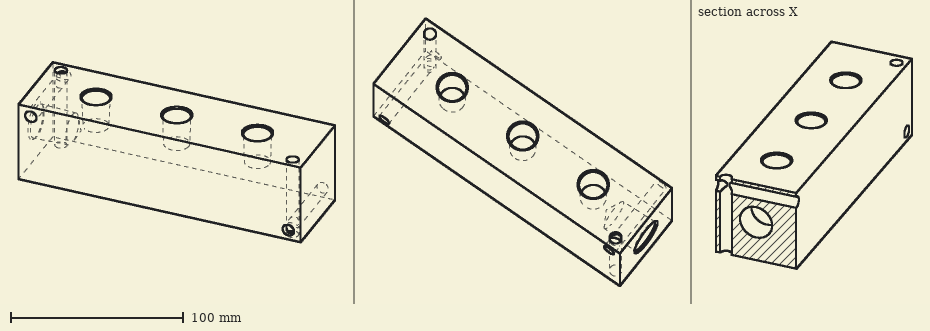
import cadquery as cq
import math

LENGTH = 177.8
SIDE = 50.9

MOUNT_DIAMETER = 7.1
MOUNT_EDGE = 6.4
MOUNT_INSET = 7.8

PORT_PITCH = SIDE
PORT_COUNT = 3
PORT_DIAMETER = 16.4
PORT_MOUTH = 18.1
PORT_DEPTH = 19.5
INLET_DIAMETER = 20.5
INLET_MOUTH = 22.5
INLET_DEPTH = 23.1
THREAD_TAPER = 1 / 16
DRILL_POINT_ANGLE = 120.0


def port_cutter(diameter, mouth, depth):
    """Tapered blind hole about -Z from the origin, with a 45 degree mouth chamfer and a drill tip."""
    radius = diameter / 2
    chamfer = (mouth - diameter) / 2
    end_radius = radius - (depth - chamfer) * THREAD_TAPER / 2
    tip = end_radius / math.tan(math.radians(DRILL_POINT_ANGLE / 2))
    profile = [
        (0, 0),
        (mouth / 2, 0),
        (radius, -chamfer),
        (end_radius, -depth),
        (0, -depth - tip),
    ]
    return cq.Workplane("XZ").polyline(profile).close().revolve(360, (0, 0), (0, 1))


def mounting_cutter():
    """Two parallel pins along Z: one at the -X +Y corner, one at the +X -Y corner."""
    end_offset = LENGTH / 2 - MOUNT_INSET
    side_offset = SIDE / 2 - MOUNT_EDGE
    centres = [(-end_offset, side_offset), (end_offset, -side_offset)]
    return (
        cq.Workplane("XY", origin=(0, 0, -SIDE / 2))
        .pushPoints(centres)
        .circle(MOUNT_DIAMETER / 2)
        .extrude(SIDE)
    )


block = cq.Workplane("XY").box(LENGTH, SIDE, SIDE)

outlet = port_cutter(PORT_DIAMETER, PORT_MOUTH, PORT_DEPTH)
for index in range(PORT_COUNT):
    port_x = (index - (PORT_COUNT - 1) / 2) * PORT_PITCH
    block = block.cut(outlet.translate((port_x, 0, SIDE / 2)))

inlet = port_cutter(INLET_DIAMETER, INLET_MOUTH, INLET_DEPTH)
inlet = inlet.rotate((0, 0, 0), (0, 1, 0), -90)
block = block.cut(inlet.translate((-LENGTH / 2, 0, 0)))

mounting = mounting_cutter()
block = block.cut(mounting)
block = block.cut(mounting.rotate((0, 0, 0), (1, 0, 0), 90))

result = block